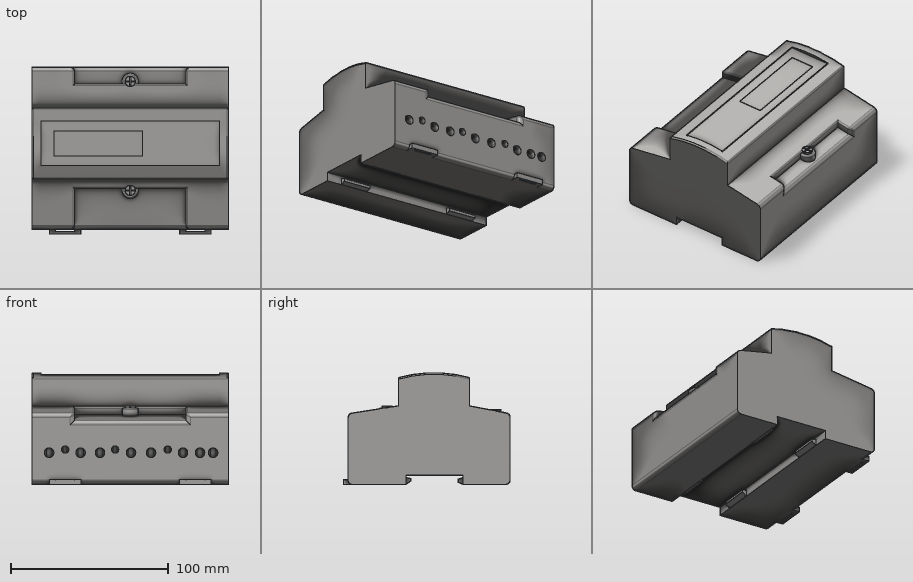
import cadquery as cq
WIDTH = 125.0
DEPTH = 103.0
HEIGHT = 71.02

SHOULDER_Z = 45.0
COLUMN_FOOT_Z = 50.0
COLUMN_FRONT_Y = 32.0
COLUMN_REAR_Y = 77.2
COLUMN_CORNER_Z = 67.9
WALL_ROUND = 3.0
CROWN_ROUND = 1.0

NOTCH_FRONT_Y = 36.9
NOTCH_REAR_Y = 72.9
NOTCH_HEIGHT = 5.8
HOOK_REACH = 3.0
HOOK_ROOT_TOP = 4.4
HOOK_ROOT_BOTTOM = 0.2
FRONT_HOOK_TIP = (2.3, 3.9)
REAR_HOOK_TIP = (1.4, 3.4)

CLIP_SPACING = 82.6
CLIP_WIDTH = 20.0
CLIP_HEIGHT = 3.2
CLIP_PROTRUSION = 3.0
CLIP_SLOT_WIDTH = 12.0
CLIP_SLOT_DEPTH = 1.2

PANEL_WIDTH = 113.2
PANEL_DEPTH = 28.2
PANEL_Z = 69.2
WINDOW_LEFT_X = -48.5
WINDOW_WIDTH = 56.2
WINDOW_DEPTH = 16.1
WINDOW_RECESS = 0.2

RECESS_WIDTH = 70.6
RECESS_DROP = 4.7
FRONT_RECESS_LENGTH = 26.0
REAR_RECESS_LENGTH = 10.8
RIM_ROUND = 1.0

FRONT_SCREW_Y = 24.8
FRONT_HEAD_TOP_Z = 50.0
REAR_SCREW_Y = DEPTH - 9.0
REAR_HEAD_TOP_Z = 47.5
COLLAR_DIAMETER = 10.4
COLLAR_ROUND = 1.0
COLLAR_BELOW_HEAD = 1.5
HEAD_DIAMETER = 6.5
CROSS_LENGTH = 5.6
CROSS_WIDTH = 0.7
CROSS_DEPTH = 1.0

LARGE_HOLE_DIAMETER = 6.0
LARGE_HOLE_Z = 20.2
LARGE_HOLE_XS = (-51.5, -31.5, -19.2, 0.5, 13.2, 33.5, 44.3, 52.6)
LARGE_PIN_DIAMETER = 3.6
SMALL_HOLE_DIAMETER = 4.6
SMALL_HOLE_Z = 22.2
SMALL_HOLE_XS = (-41.3, -9.6, 23.8)
SMALL_PIN_DIAMETER = 2.6
HOLE_DEPTH = 10.0
PIN_Y = 8.0

COLUMN_MID_Y = (COLUMN_FRONT_Y + COLUMN_REAR_Y) / 2


def along_x(outline, width):
    """Extrude a closed YZ outline symmetrically about X = 0."""
    return outline.close().extrude(width / 2, both=True)


def ledge_block(drop):
    """Sharp-edged lower housing with sloped ledges, all lowered by drop."""
    shoulder_z = SHOULDER_Z - drop
    foot_z = COLUMN_FOOT_Z - drop
    outline = (
        cq.Workplane("YZ")
        .moveTo(0, 0)
        .lineTo(DEPTH, 0)
        .lineTo(DEPTH, shoulder_z)
        .lineTo(COLUMN_REAR_Y, foot_z)
        .lineTo(COLUMN_FRONT_Y, foot_z)
        .lineTo(0, shoulder_z)
    )
    return along_x(outline, WIDTH)


def column():
    """Central column with an arched, softly rounded crown."""
    outline = (
        cq.Workplane("YZ")
        .moveTo(COLUMN_FRONT_Y, NOTCH_HEIGHT)
        .lineTo(COLUMN_REAR_Y, NOTCH_HEIGHT)
        .lineTo(COLUMN_REAR_Y, COLUMN_CORNER_Z)
        .threePointArc((COLUMN_MID_Y, HEIGHT), (COLUMN_FRONT_Y, COLUMN_CORNER_Z))
    )
    return along_x(outline, WIDTH).faces(">Z").edges().fillet(CROWN_ROUND)


def box_between(width, y_range, z_range, x_mid=0.0):
    """Box centred on x_mid that spans the given Y and Z ranges."""
    y_low, y_high = y_range
    z_low, z_high = z_range
    box = cq.Workplane("XY").box(width, y_high - y_low, z_high - z_low, centered=(True, False, False))
    return box.translate((x_mid, y_low, z_low))


def panel_cut():
    """Flat panel sunk into the crown, with the display window sunk a little further."""
    panel_y = (COLUMN_MID_Y - PANEL_DEPTH / 2, COLUMN_MID_Y + PANEL_DEPTH / 2)
    window_y = (COLUMN_MID_Y - WINDOW_DEPTH / 2, COLUMN_MID_Y + WINDOW_DEPTH / 2)
    panel = box_between(PANEL_WIDTH, panel_y, (PANEL_Z, HEIGHT))
    window_x = WINDOW_LEFT_X + WINDOW_WIDTH / 2
    window = box_between(WINDOW_WIDTH, window_y, (PANEL_Z - WINDOW_RECESS, HEIGHT), window_x)
    return panel.union(window)


def rounded_base():
    """Lower housing with both cover recesses, rounded at the outer walls and along the rims."""
    base = ledge_block(0)
    lowered = ledge_block(RECESS_DROP)
    for y_range in ((0, FRONT_RECESS_LENGTH), (DEPTH - REAR_RECESS_LENGTH, DEPTH)):
        base = base.cut(box_between(RECESS_WIDTH, y_range, (0, HEIGHT)).cut(lowered))
    base = base.edges("<Y or >Y").edges("not(<X or >X)").fillet(WALL_ROUND)
    rim_zone = cq.selectors.BoxSelector(
        (-RECESS_WIDTH / 2 - RIM_ROUND, WALL_ROUND, SHOULDER_Z),
        (RECESS_WIDTH / 2 + RIM_ROUND, DEPTH - WALL_ROUND, COLUMN_FOOT_Z - RIM_ROUND / 2),
    )
    return base.edges("not |Z").edges(rim_zone).fillet(RIM_ROUND)


def screw(y, head_top_z):
    """Upright cover screw with a rounded collar and a cross-slotted head."""
    collar_top_z = head_top_z - COLLAR_BELOW_HEAD
    base_z = SHOULDER_Z - 2 * RECESS_DROP
    collar = cq.Workplane("XY").circle(COLLAR_DIAMETER / 2).extrude(collar_top_z - base_z)
    collar = collar.faces(">Z").edges().fillet(COLLAR_ROUND)
    head = cq.Workplane("XY").circle(HEAD_DIAMETER / 2).extrude(head_top_z - base_z)
    body = collar.union(head).translate((0, y, base_z))
    slot_z = head_top_z - CROSS_DEPTH / 2
    for length_x, length_y in ((CROSS_LENGTH, CROSS_WIDTH), (CROSS_WIDTH, CROSS_LENGTH)):
        slot = cq.Workplane("XY").box(length_x, length_y, CROSS_DEPTH)
        body = body.cut(slot.translate((0, y, slot_z)))
    return body


def terminal_hole(x, z, hole_diameter, pin_diameter):
    """Blind round hole running inward from the front wall around an upright pin."""
    hole = cq.Workplane("XZ").circle(hole_diameter / 2).extrude(-HOLE_DEPTH)
    pin = cq.Workplane("XY").circle(pin_diameter / 2).extrude(hole_diameter, both=True)
    return hole.cut(pin.translate((0, PIN_Y, 0))).translate((x, 0, z))


def hook(root_y, direction, tip):
    """Rail hook reaching from a notch wall into the notch."""
    tip_low, tip_high = tip
    tip_y = root_y + direction * HOOK_REACH
    outline = (
        cq.Workplane("YZ")
        .moveTo(root_y, HOOK_ROOT_BOTTOM)
        .lineTo(tip_y, tip_low)
        .lineTo(tip_y, tip_high)
        .lineTo(root_y, HOOK_ROOT_TOP)
    )
    return along_x(outline, CLIP_WIDTH)


def clip():
    """Clip under the housing: slotted pull tab in front, one hook on each notch wall."""
    tab = box_between(CLIP_WIDTH, (-CLIP_PROTRUSION, 2 * WALL_ROUND), (0, CLIP_HEIGHT))
    slot = box_between(CLIP_SLOT_WIDTH, (-CLIP_SLOT_DEPTH, 0), (0, CLIP_HEIGHT))
    front_hook = hook(NOTCH_FRONT_Y, 1, FRONT_HOOK_TIP)
    rear_hook = hook(NOTCH_REAR_Y, -1, REAR_HOOK_TIP)
    return tab.cut(slot).union(front_hook).union(rear_hook)


housing = rounded_base().union(column())
housing = housing.cut(box_between(WIDTH, (NOTCH_FRONT_Y, NOTCH_REAR_Y), (0, NOTCH_HEIGHT)))
housing = housing.cut(panel_cut())
housing = housing.union(screw(FRONT_SCREW_Y, FRONT_HEAD_TOP_Z))
housing = housing.union(screw(REAR_SCREW_Y, REAR_HEAD_TOP_Z))
for hole_x in LARGE_HOLE_XS:
    housing = housing.cut(terminal_hole(hole_x, LARGE_HOLE_Z, LARGE_HOLE_DIAMETER, LARGE_PIN_DIAMETER))
for hole_x in SMALL_HOLE_XS:
    housing = housing.cut(terminal_hole(hole_x, SMALL_HOLE_Z, SMALL_HOLE_DIAMETER, SMALL_PIN_DIAMETER))
for clip_x in (-CLIP_SPACING / 2, CLIP_SPACING / 2):
    housing = housing.union(clip().translate((clip_x, 0, 0)))

result = housing